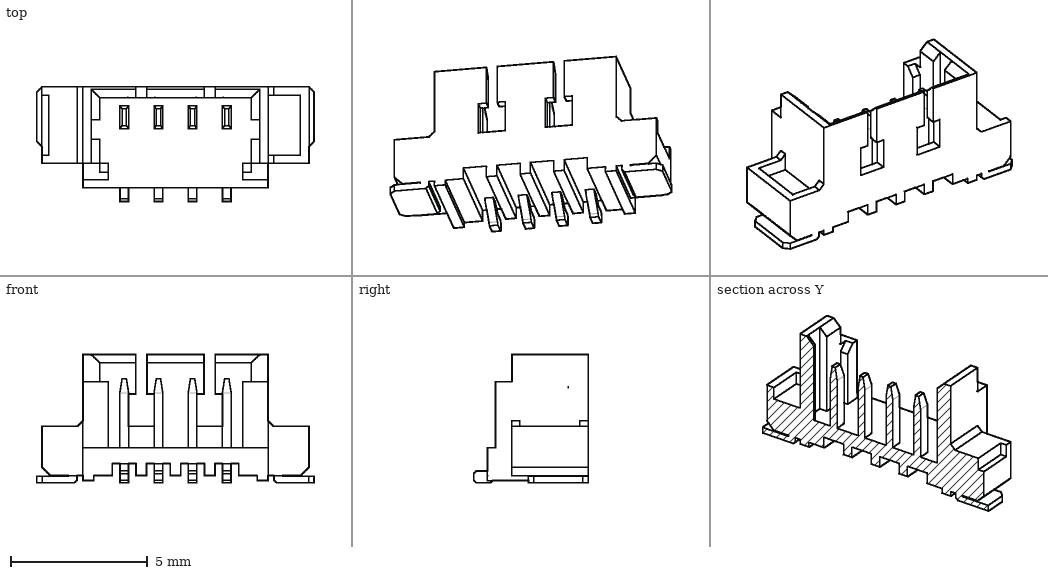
import cadquery as cq
import math


total_width = 10.15
total_depth = 4.2
total_height = 4.7

pin_count = 4
pitch = 1.25
pin_width = 0.32
pin_back_depth = 0.69
pin_front_depth = 1.54
pin_shoulder_z = 3.3
pin_tip_z = 3.8
pin_tip_width = 0.16
pin_tip_inset_depth = 0.12

foot_height = 0.44
foot_chamfer = 0.1
foot_heel_depth = 3.48
foot_top_back_depth = 3.58
leg_angle = 28.0

body_half_width = 3.385
base_depth = 3.7
base_bottom_z = 0.27
floor_z = 1.29
wall_depth = 2.8
side_wall_thickness = 0.3
back_wall_thickness = 0.4
back_lip_thickness = 0.09
rim_chamfer = 0.3
standoff_width = 0.4
standoff_z = 0.08

rib_thickness = 0.31
back_rib_depth = 1.2
front_rib_start_depth = 1.93

post_width = 0.93
post_depth = 3.4
post_top_z = 3.7
post_chamfer = 0.32

key_slot_width = 0.4
window_width = 1.0
window_bottom_z = 2.08
window_top_z = 3.25
relief_width = 0.86
relief_top_z = 0.7

ear_half_span = 4.885
ear_top_z = 2.08
ear_chamfer = 0.3
ear_root_chamfer = 0.2
pocket_back_depth = 0.31
pocket_front_depth = 2.51
pocket_bottom_z = 1.6
left_pocket_width = 0.25
right_pocket_outer_wall = 0.33

tab_depth = 2.2
tab_thickness = 0.25
tab_inner_x = 3.6
tab_chamfer = 0.2
tab_heel_chamfer = 0.1
tab_stem_width = 0.32
tab_stem_embed = 0.3

pin_positions = [(i - (pin_count - 1) / 2) * pitch for i in range(pin_count)]
half_width = total_width / 2
inner_half_width = body_half_width - side_wall_thickness


def block(x_range, depth_range, z_range):
    """Box between two x values, two depths from the back face and two heights."""
    size_x = x_range[1] - x_range[0]
    size_y = depth_range[1] - depth_range[0]
    size_z = z_range[1] - z_range[0]
    corner = (x_range[0], -depth_range[1], z_range[0])
    return cq.Workplane("XY").box(size_x, size_y, size_z, centered=False).translate(corner)


def across_depth(points, depth_range):
    """Extrude an (x, z) outline between two depths."""
    profile = cq.Workplane("XZ", origin=(0, -depth_range[0], 0)).polyline(points).close()
    return profile.extrude(depth_range[1] - depth_range[0])


def across_width(points, x_range):
    """Extrude a (depth, z) outline between two x values."""
    outline = [(-depth, z) for depth, z in points]
    profile = cq.Workplane("YZ", origin=(x_range[0], 0, 0)).polyline(outline).close()
    return profile.extrude(x_range[1] - x_range[0])


def both_sides(right_side):
    """Join a right-hand feature with its mirror image on the left."""
    return right_side.union(right_side.mirror("YZ"))


def make_base():
    body_range = (-body_half_width, body_half_width)
    base = block(body_range, (0, base_depth), (base_bottom_z, floor_z))
    standoff_range = (body_half_width - standoff_width, body_half_width)
    standoff = block(standoff_range, (0, base_depth), (standoff_z, base_bottom_z))
    base = base.union(both_sides(standoff))
    for x in pin_positions:
        relief_range = (x - relief_width / 2, x + relief_width / 2)
        base = base.cut(block(relief_range, (0, base_depth), (base_bottom_z, relief_top_z)))
    return base


def make_back_wall():
    chamfer_bottom_z = total_height - rim_chamfer
    profile = [
        (0, floor_z),
        (0, total_height),
        (back_lip_thickness, total_height),
        (back_wall_thickness, chamfer_bottom_z),
        (back_wall_thickness, floor_z),
    ]
    wall = across_width(profile, (-body_half_width, body_half_width))
    for x in (-pitch, pitch):
        slot_range = (x - key_slot_width / 2, x + key_slot_width / 2)
        window_range = (x - window_width / 2, x + window_width / 2)
        wall = wall.cut(block(slot_range, (0, back_wall_thickness), (window_bottom_z, total_height)))
        wall = wall.cut(block(window_range, (0, back_wall_thickness), (window_bottom_z, window_top_z)))
    return wall


def make_side_wall():
    """Right-hand wall with its two ribs."""
    wall = block((inner_half_width, body_half_width), (0, wall_depth), (floor_z, total_height))
    rib_profile = [
        (inner_half_width, floor_z),
        (inner_half_width, total_height),
        (inner_half_width - rib_thickness, total_height - rim_chamfer),
        (inner_half_width - rib_thickness, floor_z),
    ]
    back_rib = across_depth(rib_profile, (back_lip_thickness, back_rib_depth))
    front_rib = across_depth(rib_profile, (front_rib_start_depth, wall_depth))
    return wall.union(back_rib).union(front_rib)


def make_corner_post():
    """Right-hand post; its top slopes down to the back where it passes the rib."""
    rib_face_x = inner_half_width - rib_thickness
    post_inner_x = body_half_width - post_width
    post = block((post_inner_x, body_half_width), (wall_depth, post_depth), (floor_z, post_top_z))
    slope = [
        (wall_depth, post_top_z),
        (wall_depth + post_chamfer, post_top_z),
        (wall_depth, post_top_z - post_chamfer),
    ]
    return post.cut(across_width(slope, (post_inner_x, rib_face_x)))


def make_ear():
    """Right-hand ear, without its pocket."""
    profile = [
        (body_half_width, base_bottom_z),
        (ear_half_span - ear_chamfer, base_bottom_z),
        (ear_half_span, base_bottom_z + ear_chamfer),
        (ear_half_span, ear_top_z),
        (body_half_width + ear_root_chamfer, ear_top_z),
        (body_half_width, ear_top_z + ear_root_chamfer),
    ]
    return across_depth(profile, (0, wall_depth))


def make_ear_pockets():
    """The left pocket breaks through the ear's end; the right one starts at the side wall."""
    depth_range = (pocket_back_depth, pocket_front_depth)
    z_range = (pocket_bottom_z, ear_top_z + ear_root_chamfer)
    left_range = (-ear_half_span, -ear_half_span + left_pocket_width)
    right_range = (body_half_width, ear_half_span - right_pocket_outer_wall)
    return block(left_range, depth_range, z_range).union(block(right_range, depth_range, z_range))


def make_solder_tab():
    """Right-hand tab, hanging just below the ear on a stem."""
    tab = block((tab_inner_x, half_width), (0, tab_depth), (0, tab_thickness))
    tab = tab.edges("|Z and >X").chamfer(tab_chamfer)
    tab = tab.edges("|Y and <X and <Z").chamfer(tab_heel_chamfer)
    stem_range = (tab_inner_x, tab_inner_x + tab_stem_width)
    stem = block(stem_range, (0, tab_depth), (tab_thickness, base_bottom_z + tab_stem_embed))
    return tab.union(stem)


def make_pin(x):
    """Contact blade above the floor, with a tapered tip."""
    blade_depth = pin_front_depth - pin_back_depth
    x_range = (x - pin_width / 2, x + pin_width / 2)
    blade = block(x_range, (pin_back_depth, pin_front_depth), (floor_z, pin_shoulder_z))
    blade_center = (x, -(pin_back_depth + pin_front_depth) / 2, pin_shoulder_z)
    tip = (
        cq.Workplane("XY", origin=blade_center)
        .rect(pin_width, blade_depth)
        .workplane(offset=pin_tip_z - pin_shoulder_z)
        .rect(pin_tip_width, blade_depth - 2 * pin_tip_inset_depth)
        .loft(ruled=True)
    )
    return blade.union(tip)


def make_pin_foot(x):
    """Leaning leg from the base and the chamfered foot it ends in."""
    leg_run = (floor_z - foot_height) / math.tan(math.radians(leg_angle))
    profile = [
        (foot_heel_depth + foot_chamfer, 0),
        (total_depth - foot_chamfer, 0),
        (total_depth, foot_chamfer),
        (total_depth, foot_height - foot_chamfer),
        (total_depth - foot_chamfer, foot_height),
        (foot_top_back_depth, foot_height),
        (foot_top_back_depth - leg_run, floor_z),
        (foot_heel_depth - leg_run, floor_z),
        (foot_heel_depth, foot_chamfer),
    ]
    return across_width(profile, (x - pin_width / 2, x + pin_width / 2))


result = make_base().union(make_back_wall())
result = result.union(both_sides(make_side_wall()))
result = result.union(both_sides(make_corner_post()))
result = result.union(both_sides(make_ear()))
result = result.cut(make_ear_pockets())
result = result.union(both_sides(make_solder_tab()))
for pin_x in pin_positions:
    result = result.union(make_pin(pin_x)).union(make_pin_foot(pin_x))